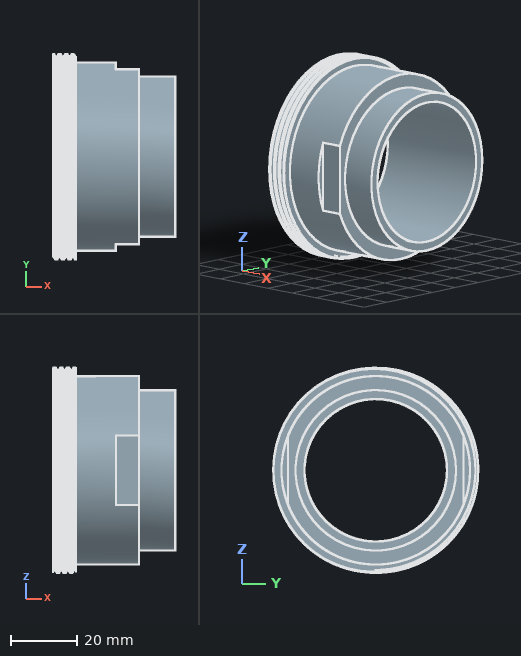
import cadquery as cq
import math

thread_length = 7.0
body_end = 26.0
total_length = 37.0

thread_radius = 62.0 / 2
body_radius = 57.0 / 2
spigot_radius = 48.5 / 2
bore_radius = 43.0 / 2

flat_spacing = 53.0
flat_length = 7.0

thread_pitch = 2.0
thread_depth = 0.87
thread_flank_angle = 30.0
groove_root_width = 0.4
groove_phase = 1.0
seam_angle = 200.0
cutter_overshoot = 0.3


def make_cylinder(radius, start, end):
    """Solid cylinder about the X axis, from X = start to X = end."""
    return cq.Workplane("YZ").workplane(offset=start).circle(radius).extrude(end - start)


def make_flat_cutter(side):
    """Block that removes the body outside one wrench flat; side is +1 or -1 along Y."""
    height = 2 * body_radius
    depth = thread_radius - flat_spacing / 2
    block = cq.Workplane("XY").box(flat_length, depth, height)
    return block.translate((body_end - flat_length / 2, side * (flat_spacing + depth) / 2, 0))


def make_thread_helix(radius, offset, turns):
    """Helix about the Z axis that starts on the +X side at Z = offset."""
    helix = cq.Wire.makeHelix(thread_pitch, turns * thread_pitch, radius)
    return helix.translate(cq.Vector(0, 0, offset))


def make_thread_cutter():
    """Helical groove that runs out past both ends of the threaded collar."""
    root_radius = thread_radius - thread_depth
    outer_radius = thread_radius + cutter_overshoot
    root_half = groove_root_width / 2
    outer_half = root_half + (outer_radius - root_radius) * math.tan(math.radians(thread_flank_angle))

    turns = math.ceil(thread_length / thread_pitch) + 1
    corners = [
        (root_radius, -root_half),
        (outer_radius, -outer_half),
        (outer_radius, outer_half),
        (root_radius, root_half),
    ]
    helices = [make_thread_helix(radius, offset, turns) for radius, offset in corners]

    next_helices = helices[1:] + helices[:1]
    faces = [cq.Face.makeRuledSurface(helix, following) for helix, following in zip(helices, next_helices)]
    start_points = [helix.startPoint() for helix in helices]
    end_points = [helix.endPoint() for helix in helices]
    for points in (start_points, end_points):
        faces.append(cq.Face.makeFromWires(cq.Wire.makePolygon(points, close=True)))
    groove = cq.Workplane(obj=cq.Solid.makeSolid(cq.Shell.makeShell(faces)))

    return groove.rotate((0, 0, 0), (1, 1, 1), 120).translate((groove_phase - thread_pitch, 0, 0))


def make_threaded_collar():
    """Collar cylinder with its seam turned away from the groove ends, then threaded."""
    blank = make_cylinder(thread_radius, 0, thread_length)
    blank = blank.rotate((0, 0, 0), (1, 0, 0), seam_angle)
    return blank.cut(make_thread_cutter())


def make_body():
    """Body cylinder with two opposite wrench flats at its spigot end."""
    body = make_cylinder(body_radius, 0, body_end)
    for side in (1, -1):
        body = body.cut(make_flat_cutter(side))
    return body


collar = make_threaded_collar()
body = make_body()
spigot = make_cylinder(spigot_radius, 0, total_length)

bore = make_cylinder(bore_radius, 0, total_length)
result = collar.union(body).union(spigot).cut(bore)